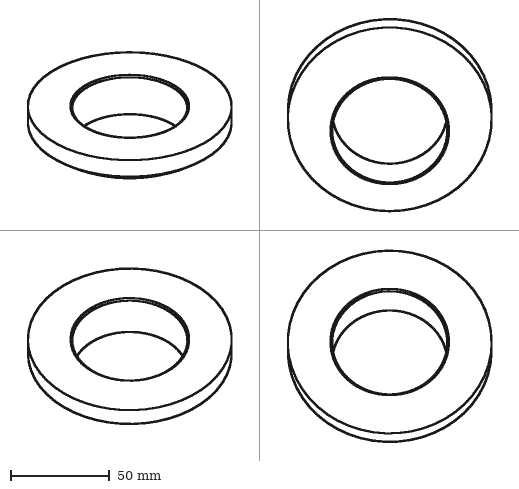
import cadquery as cq
import math

outer_radius = 51.5
height = 23.0
rim_height = 9.8
bore_radius = 29.0
chamfer = 0.9
seat_sphere_radius = 80.3

chamfer_radius = bore_radius + chamfer
foot_radius = chamfer_radius
rim_bottom = height - rim_height

chord_r = outer_radius - foot_radius
chord_length = math.hypot(chord_r, rim_bottom)
sagitta = seat_sphere_radius - math.sqrt(seat_sphere_radius**2 - (chord_length / 2) ** 2)
arc_middle = (
    (outer_radius + foot_radius) / 2 + sagitta * rim_bottom / chord_length,
    rim_bottom / 2 - sagitta * chord_r / chord_length,
)

half_section = (
    cq.Workplane("XZ")
    .moveTo(bore_radius, 0)
    .lineTo(foot_radius, 0)
    .threePointArc(arc_middle, (outer_radius, rim_bottom))
    .lineTo(outer_radius, height)
    .lineTo(chamfer_radius, height)
    .lineTo(bore_radius, height - chamfer)
    .close()
)

result = half_section.revolve(360, (0, 0, 0), (0, 1, 0))